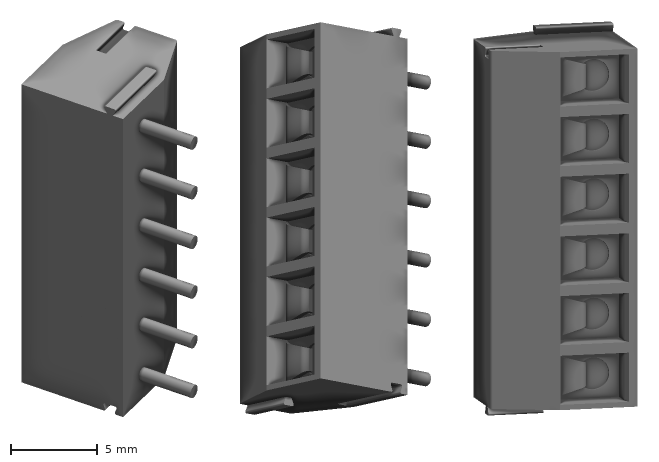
import cadquery as cq

pole_count = 6
total_height = 21.95
rail_height = 0.48
body_height = total_height - 2 * rail_height
pitch = body_height / pole_count
body_width = 6.83
body_depth = 8.4
shoulder_y = 4.61
crown_inset = 1.38
crown_fillet = 0.18

pin_length = 3.47
pin_diameter = 0.81
pin_y = 2.17
pin_embed = 0.22

pocket_height = 2.88
pocket_depth = 1.65
pocket_near_y = 0.53
pocket_far_y = 4.6
lead_in_width = 0.15
lead_in_depth = 0.42

hole_diameter = 1.89
hole_y = 2.22
hole_depth = 0.2

leaf_top_x = 1.27
leaf_bend_radius = 0.46
leaf_tip_y = 2.68
leaf_tip_trim = 0.05
leaf_tip_width = 1.35
leaf_root_width = 2.2
leaf_flare_middle_width = 2.42
leaf_mouth_width = 2.77
leaf_flare_middle_fraction = 0.5

rail_head_width = 0.88
rail_neck_width = 0.42
groove_head_width = 0.97
groove_neck_width = 0.57
groove_height = 0.55
dovetail_fillet = 0.09
front_rail_x = 5.95
back_rail_x = 2.25
front_rail_end_y = shoulder_y
back_rail_end_y = 5.14


def make_housing():
    profile = [
        (0, 0),
        (body_width, 0),
        (body_width, shoulder_y),
        (body_width - crown_inset, body_depth),
        (crown_inset, body_depth),
        (0, shoulder_y),
    ]
    housing = cq.Workplane("XY").polyline(profile).close().extrude(body_height)
    return housing.edges("|Z and >Y").fillet(crown_fillet)


def dovetail(center_x, base_z, direction, sizes, start_y, end_y):
    """Bar along Y, narrow at base_z, widening along Z in the given direction (+1 or -1)."""
    neck_width, head_width, height = sizes
    head_z = base_z + direction * height
    profile = [
        (center_x - neck_width / 2, base_z),
        (center_x + neck_width / 2, base_z),
        (center_x + head_width / 2, head_z),
        (center_x - head_width / 2, head_z),
    ]
    bar = cq.Workplane("XZ", origin=(0, start_y, 0)).polyline(profile).close().extrude(start_y - end_y)
    head_side = ">Z" if direction > 0 else "<Z"
    return bar.faces(head_side).edges("|Y").fillet(dovetail_fillet)


def groove_lips(center_x, base_z):
    """Selector box around the two long edges where a groove opens on an end face."""
    margin = 0.02
    reach = groove_neck_width / 2 + margin
    return cq.selectors.BoxSelector(
        (center_x - reach, -margin, base_z - margin),
        (center_x + reach, body_depth + margin, base_z + margin),
    )


def make_pocket():
    """Cutter for one pocket, centred on Z = 0; its -Y wall has a steep lead-in at the mouth."""
    profile = [
        (0, pocket_near_y),
        (lead_in_depth, pocket_near_y + lead_in_width),
        (pocket_depth, pocket_near_y + lead_in_width),
        (pocket_depth, pocket_far_y),
        (0, pocket_far_y),
    ]
    pocket = cq.Workplane("XY").polyline(profile).close().extrude(pocket_height / 2, both=True)
    hole = (
        cq.Workplane("YZ", origin=(pocket_depth, 0, 0))
        .center(hole_y, 0)
        .circle(hole_diameter / 2)
        .extrude(hole_depth)
    )
    return pocket.union(hole)


def make_leaf():
    """Guard leaf centred on Z = 0: flared toward +Y, with both ends bent toward the floor.

    The bend at the tip is trimmed just short of a full quarter turn.
    """
    leaf_base_x = pocket_depth + hole_depth
    bend_end_y = pocket_far_y - leaf_bend_radius
    flare_middle_y = bend_end_y + leaf_flare_middle_fraction * leaf_bend_radius
    outline = (
        cq.Workplane("YZ", origin=(leaf_top_x, 0, 0))
        .moveTo(leaf_tip_y, -leaf_tip_width / 2)
        .lineTo(bend_end_y, -leaf_root_width / 2)
        .threePointArc(
            (flare_middle_y, -leaf_flare_middle_width / 2),
            (pocket_far_y, -leaf_mouth_width / 2),
        )
        .lineTo(pocket_far_y, leaf_mouth_width / 2)
        .threePointArc(
            (flare_middle_y, leaf_flare_middle_width / 2),
            (bend_end_y, leaf_root_width / 2),
        )
        .lineTo(leaf_tip_y, leaf_tip_width / 2)
        .close()
        .extrude(leaf_base_x - leaf_top_x)
    )
    bend_start_y = leaf_tip_y - leaf_tip_trim
    bent_side = (
        cq.Workplane("XY")
        .rect(leaf_base_x - leaf_top_x, pocket_far_y - bend_start_y)
        .extrude(pocket_height / 2, both=True)
        .edges("|Z and <X")
        .fillet(leaf_bend_radius)
        .translate(((leaf_base_x + leaf_top_x) / 2, (pocket_far_y + bend_start_y) / 2, 0))
    )
    return outline.intersect(bent_side)


def make_pin():
    sketch = cq.Workplane("YZ", origin=(body_width - pin_embed, pin_y, 0))
    return sketch.circle(pin_diameter / 2).extrude(pin_embed + pin_length)


result = make_housing()

groove_sizes = (groove_neck_width, groove_head_width, groove_height)
result = result.cut(dovetail(back_rail_x, body_height, -1, groove_sizes, back_rail_end_y, body_depth))
result = result.cut(dovetail(front_rail_x, 0, 1, groove_sizes, 0, front_rail_end_y))
for groove_x, face_z in [(back_rail_x, body_height), (front_rail_x, 0)]:
    result = result.edges("|Y").edges(groove_lips(groove_x, face_z)).fillet(dovetail_fillet)

rail_sizes = (rail_neck_width, rail_head_width, rail_height)
result = result.union(dovetail(front_rail_x, body_height, 1, rail_sizes, 0, front_rail_end_y))
result = result.union(dovetail(back_rail_x, 0, -1, rail_sizes, back_rail_end_y, body_depth))

for pole in range(pole_count):
    pole_center = (0, 0, (pole + 0.5) * pitch)
    result = result.cut(make_pocket().translate(pole_center))
    result = result.union(make_leaf().translate(pole_center))
    result = result.union(make_pin().translate(pole_center))